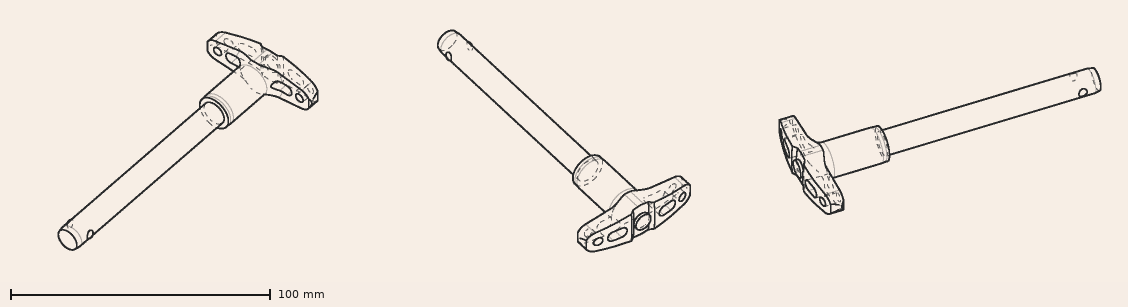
import cadquery as cq
import math


overall_length = 125.4
tip_length = 2.4
sleeve_start = 89.7
lip_length = 1.3
taper_length = 1.5
flare_start = 112.9

shaft_radius = 5.0
tip_radius = 4.6
lip_radius = 7.1
sleeve_radius = 7.3
flare_radius = 4.4
button_radius = 3.6

ball_radius = 2.1
ball_reach = 5.9
ball_height = 7.6

handle_half_length = 25.77
handle_half_width = 7.9
end_radius = 5.0
crown_radius = 10.0
end_draft = 0.6
end_chamfer_width = 0.6
end_chamfer_height = 1.0
handle_end_bottom = 116.6
handle_end_top = 122.0
cross_crown_radius = 62.7
saddle_depth = 1.3
crest_start = 5.5
arm_middle = 17.3
arm_middle_top = 124.0

hole_offset = 20.3
hole_radius = 1.9
slot_inner = 7.8
slot_outer = 16.3
slot_width = 4.8

handle_bottom = flare_start + flare_radius
flare_outer = sleeve_radius + flare_radius
saddle_level = overall_length - saddle_depth
end_top_x = handle_half_length - end_draft


def plane_across_pin(height):
    """Workplane across the pin at the given Y, whose extrusions run toward +Y."""
    return cq.Workplane(cq.Plane((0, height, 0), (1, 0, 0), (0, 1, 0)))


def handle_outline(start, end):
    """Tapered handle plan: crowned middle, straight flanks, round ends."""
    end_center = handle_half_length - end_radius
    crown_center = handle_half_width - crown_radius
    flank_angle = (
        math.asin((crown_radius - end_radius) / math.hypot(end_center, crown_center))
        - math.atan2(-crown_center, end_center)
    )
    crown_x = crown_radius * math.sin(flank_angle)
    crown_z = crown_center + crown_radius * math.cos(flank_angle)
    end_x = end_center + end_radius * math.sin(flank_angle)
    end_z = end_radius * math.cos(flank_angle)
    return (
        plane_across_pin(start)
        .moveTo(-crown_x, crown_z)
        .threePointArc((0, handle_half_width), (crown_x, crown_z))
        .lineTo(end_x, end_z)
        .threePointArc((handle_half_length, 0), (end_x, -end_z))
        .lineTo(crown_x, -crown_z)
        .threePointArc((0, -handle_half_width), (-crown_x, -crown_z))
        .lineTo(-end_x, -end_z)
        .threePointArc((-handle_half_length, 0), (-end_x, end_z))
        .close()
        .extrude(end - start)
    )


def crowned_arch():
    """Arched top with a central saddle, swung about X so it is also crowned across Z."""
    crown_axis = overall_length - cross_crown_radius
    return (
        cq.Workplane("XY")
        .moveTo(-handle_half_length, crown_axis)
        .lineTo(-handle_half_length, handle_end_top)
        .threePointArc((-arm_middle, arm_middle_top), (-crest_start, overall_length))
        .lineTo(-button_radius, saddle_level)
        .lineTo(button_radius, saddle_level)
        .lineTo(crest_start, overall_length)
        .threePointArc((arm_middle, arm_middle_top), (handle_half_length, handle_end_top))
        .lineTo(handle_half_length, crown_axis)
        .close()
        .revolve(360, (0, crown_axis, 0), (1, crown_axis, 0))
    )


def end_facets():
    """Block whose two ends lean inward above and are chamfered below."""
    chamfer_x = handle_half_length - end_chamfer_width
    chamfer_top = handle_end_bottom + end_chamfer_height
    return (
        cq.Workplane("XY")
        .polyline([
            (-chamfer_x, flare_start),
            (chamfer_x, flare_start),
            (chamfer_x, handle_end_bottom),
            (handle_half_length, chamfer_top),
            (end_top_x, handle_end_top),
            (end_top_x, overall_length),
            (-end_top_x, overall_length),
            (-end_top_x, handle_end_top),
            (-handle_half_length, chamfer_top),
            (-chamfer_x, handle_end_bottom),
        ])
        .close()
        .extrude(handle_half_width, both=True)
    )


def flared_underside():
    """Round body above a concave flare that runs out into a shallow cone."""
    diagonal = flare_radius * math.sqrt(0.5)
    return (
        cq.Workplane("XY")
        .moveTo(0, flare_start)
        .lineTo(sleeve_radius, flare_start)
        .threePointArc(
            (flare_outer - diagonal, flare_start + diagonal),
            (flare_outer, handle_bottom),
        )
        .lineTo(handle_half_length, handle_end_bottom)
        .lineTo(handle_half_length, overall_length)
        .lineTo(0, overall_length)
        .close()
        .revolve(360, (0, 0, 0), (0, 1, 0))
    )


def make_handle():
    return (
        flared_underside()
        .intersect(handle_outline(flare_start, overall_length))
        .intersect(end_facets())
        .intersect(crowned_arch())
    )


def make_pin():
    """Shaft with tapered tip, sleeve with tapered end and lip, and push button."""
    lip_end = sleeve_start + lip_length
    taper_end = lip_end + taper_length
    return (
        cq.Workplane("XY")
        .polyline([
            (0, 0),
            (tip_radius, 0),
            (shaft_radius, tip_length),
            (shaft_radius, sleeve_start),
            (lip_radius, sleeve_start),
            (lip_radius, lip_end),
            (sleeve_radius, taper_end),
            (sleeve_radius, flare_start),
            (button_radius, flare_start),
            (button_radius, overall_length),
            (0, overall_length),
        ])
        .close()
        .revolve(360, (0, 0, 0), (0, 1, 0))
    )


def make_arm_openings():
    """Round hole and slot through both arms of the handle."""
    depth = overall_length - flare_start
    slot_center = (slot_inner + slot_outer) / 2
    holes = (
        plane_across_pin(flare_start)
        .pushPoints([(side * hole_offset, 0) for side in (-1, 1)])
        .circle(hole_radius)
        .extrude(depth)
    )
    slots = (
        plane_across_pin(flare_start)
        .pushPoints([(side * slot_center, 0) for side in (-1, 1)])
        .slot2D(slot_outer - slot_inner, slot_width)
        .extrude(depth)
    )
    return holes.union(slots)


def make_balls():
    """Locking balls standing proud on opposite sides of the shaft."""
    center = ball_reach - ball_radius
    return (
        cq.Workplane("XY")
        .pushPoints([(side * center, ball_height) for side in (-1, 1)])
        .sphere(ball_radius)
    )


result = (
    make_pin()
    .union(make_handle())
    .cut(make_arm_openings())
    .union(make_balls())
)